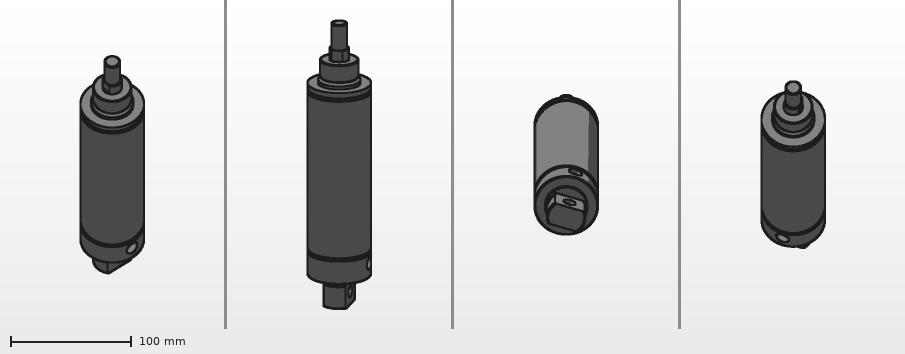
import cadquery as cq

TOTAL_HEIGHT = 245.4
BODY_DIAMETER = 52.8
BODY_RADIUS = BODY_DIAMETER / 2

COLLAR_BOTTOM = 22.5
CAP_BOTTOM = 25.3
LOWER_GROOVE = 46.9
UPPER_GROOVE = 186.7
CAP_TOP = 192.9
COLLAR_TOP = 195.5
BOSS_TOP = 213.5
ROD_SHOULDER = 223.0

CAP_CHAMFER = 0.7
GROOVE_WIDTH = 3.0
GROOVE_DEPTH = 0.7
GROOVE_ROOT_SPACING = 1.5

COLLAR_DIAMETER = 35.0
COLLAR_RADIUS = COLLAR_DIAMETER / 2
BOSS_DIAMETER = 32.0
BOSS_RADIUS = BOSS_DIAMETER / 2
BOSS_CHAMFER = 0.7
NECK_RADIUS = 15.2
NECK_LENGTH = 2.5
NECK_FILLET = 1.5
NECK_TAPER = BOSS_RADIUS - NECK_RADIUS

SELECTION_MARGIN = 0.2

TANG_THICKNESS = 19.0
TANG_HOLE_DIAMETER = 10.0
TANG_HOLE_HEIGHT = 11.3
TANG_CHAMFER = 1.0

PORT_DIAMETER = 11.3
PORT_HEIGHT = 37.5
PORT_DEPTH = 9.8

ROD_DIAMETER = 16.0
ROD_RADIUS = ROD_DIAMETER / 2
ROD_BOTTOM = UPPER_GROOVE
ROD_END_DIAMETER = 13.0
ROD_END_RADIUS = ROD_END_DIAMETER / 2
ROD_END_CHAMFER = 0.85
ROD_ACROSS_FLATS = ROD_END_DIAMETER


def revolve_profile(points):
    """Revolve a (radius, height) outline about the Z axis."""
    return cq.Workplane("XZ").polyline(points).close().revolve(360, (0, 0), (0, 1))


def crimp_groove(height):
    """Outline points of a groove made of two Vs that meet in a full-radius ridge."""
    half_width = GROOVE_WIDTH / 2
    half_spacing = GROOVE_ROOT_SPACING / 2
    root = BODY_RADIUS - GROOVE_DEPTH
    return [
        (BODY_RADIUS, height - half_width),
        (root, height - half_spacing),
        (BODY_RADIUS, height),
        (root, height + half_spacing),
        (BODY_RADIUS, height + half_width),
    ]


def boss_outline(collar_level, end_level, chamfer, direction):
    """Outline from the neck at the collar to the chamfered end of a boss."""
    neck_end = collar_level + direction * NECK_LENGTH
    return [
        (NECK_RADIUS, collar_level),
        (NECK_RADIUS, neck_end),
        (BOSS_RADIUS, neck_end + direction * NECK_TAPER),
        (BOSS_RADIUS, end_level - direction * chamfer),
        (BOSS_RADIUS - chamfer, end_level),
        (0, end_level),
    ]


def make_turned_body():
    lower_boss = boss_outline(COLLAR_BOTTOM, 0, TANG_CHAMFER, -1)
    upper_boss = boss_outline(COLLAR_TOP, BOSS_TOP, BOSS_CHAMFER, 1)
    outline = [
        *reversed(lower_boss),
        (COLLAR_RADIUS, COLLAR_BOTTOM),
        (COLLAR_RADIUS, CAP_BOTTOM),
        (BODY_RADIUS - CAP_CHAMFER, CAP_BOTTOM),
        (BODY_RADIUS, CAP_BOTTOM + CAP_CHAMFER),
        *crimp_groove(LOWER_GROOVE),
        *crimp_groove(UPPER_GROOVE),
        (BODY_RADIUS, CAP_TOP),
        (COLLAR_RADIUS, CAP_TOP),
        (COLLAR_RADIUS, COLLAR_TOP),
        *upper_boss,
    ]
    body = revolve_profile(outline)

    for collar_level in (COLLAR_BOTTOM, COLLAR_TOP):
        corner = cq.selectors.BoxSelector(
            (-BOSS_RADIUS, -BOSS_RADIUS, collar_level - SELECTION_MARGIN),
            (BOSS_RADIUS, BOSS_RADIUS, collar_level + SELECTION_MARGIN),
            boundingbox=True,
        )
        body = body.edges(corner).fillet(NECK_FILLET)
    return body


def flat_sides(diameter, thickness, bottom, top, axis):
    """Material outside two parallel flats that face along the given axis."""
    length_x = thickness if axis == "X" else diameter
    length_y = thickness if axis == "Y" else diameter
    height = top - bottom
    base = cq.Workplane("XY", origin=(0, 0, bottom))
    outer = base.rect(2 * diameter, 2 * diameter).extrude(height)
    return outer.cut(base.rect(length_x, length_y).extrude(height))


def make_cylinder_body():
    body = make_turned_body()

    body = body.cut(flat_sides(BOSS_DIAMETER, TANG_THICKNESS, 0, COLLAR_BOTTOM, "X"))
    pin_hole = (
        cq.Workplane("YZ", origin=(0, 0, TANG_HOLE_HEIGHT))
        .circle(TANG_HOLE_DIAMETER / 2)
        .extrude(TANG_THICKNESS, both=True)
    )
    body = body.cut(pin_hole)

    port = (
        cq.Workplane("YZ", origin=(BODY_RADIUS - PORT_DEPTH, 0, PORT_HEIGHT))
        .circle(PORT_DIAMETER / 2)
        .extrude(PORT_DEPTH)
    )
    body = body.cut(port)

    bore = (
        cq.Workplane("XY", origin=(0, 0, ROD_BOTTOM))
        .circle(ROD_RADIUS)
        .extrude(BOSS_TOP - ROD_BOTTOM)
    )
    return body.cut(bore)


def make_piston_rod():
    rod = revolve_profile([
        (0, ROD_BOTTOM),
        (ROD_RADIUS, ROD_BOTTOM),
        (ROD_RADIUS, ROD_SHOULDER),
        (ROD_END_RADIUS, ROD_SHOULDER),
        (ROD_END_RADIUS, TOTAL_HEIGHT - ROD_END_CHAMFER),
        (ROD_END_RADIUS - ROD_END_CHAMFER, TOTAL_HEIGHT),
        (0, TOTAL_HEIGHT),
    ])
    return rod.cut(flat_sides(ROD_DIAMETER, ROD_ACROSS_FLATS, BOSS_TOP, ROD_SHOULDER, "Y"))


cylinder_body = make_cylinder_body()
piston_rod = make_piston_rod()

result = cq.Compound.makeCompound([cylinder_body.val(), piston_rod.val()])